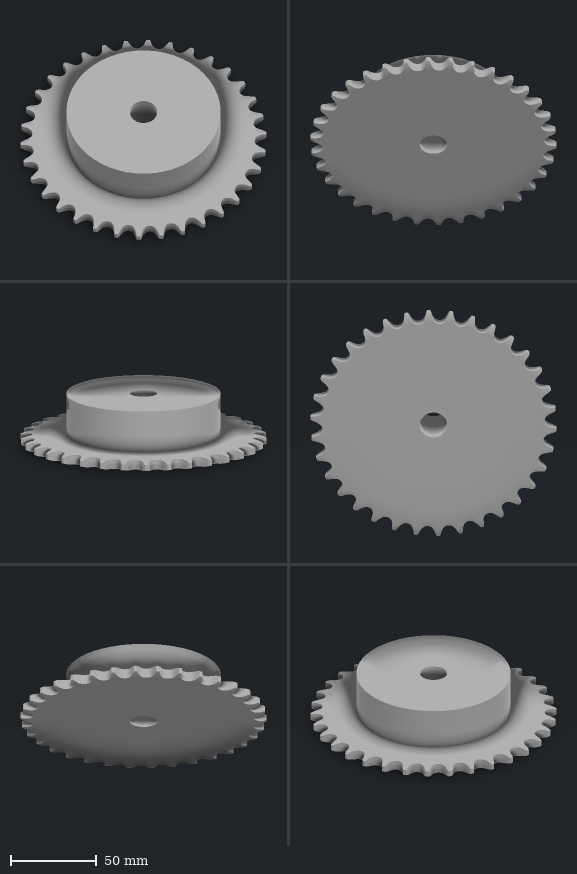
import cadquery as cq
import math

teeth = 34
outer_diameter = 143.6
plate_thickness = 5.7
total_height = 30.0
hub_diameter = 90.0
bore_diameter = 16.0

pitch_diameter = 137.7
roller_diameter = 7.9
seat_clearance = 0.039

bevel_reach = 5.7
bevel_radius = 14.4
rim_overshoot = 1.5

outer_radius = outer_diameter / 2
pitch_radius = pitch_diameter / 2
half_step = math.pi / teeth

seat_radius = 0.5025 * roller_diameter + seat_clearance
working_offset = 0.8 * roller_diameter
working_radius = seat_radius + working_offset
topping_offset = 1.4 * roller_diameter
seat_half_angle = math.radians(90 - (35 + 60 / teeth))
working_angle = math.radians(18 - 56 / teeth)
topping_angle = math.radians(17 - 64 / teeth)
flank_angle = seat_half_angle + working_angle
topping_radius = (
    working_offset * math.cos(working_angle) + topping_offset * math.cos(topping_angle) - working_radius
)
straight_length = topping_offset * math.sin(topping_angle) - working_offset * math.sin(working_angle)


def on_arc(center, radius, angle):
    """Point on a circle, at an angle measured from the direction that points at the sprocket axis."""
    return (center[0] - radius * math.cos(angle), center[1] + radius * math.sin(angle))


def make_half_gap():
    """Points from the bottom of a tooth gap to the tooth tip, with the X axis along the middle of the gap."""
    seat_center = (pitch_radius, 0)
    working_center = on_arc(seat_center, -working_offset, seat_half_angle)
    topping_center = (
        pitch_radius - topping_offset * math.sin(half_step),
        topping_offset * math.cos(half_step),
    )
    straight_start = on_arc(working_center, working_radius, flank_angle)
    straight_end = (
        straight_start[0] + straight_length * math.sin(flank_angle),
        straight_start[1] + straight_length * math.cos(flank_angle),
    )

    center_distance = math.hypot(*topping_center)
    tip_angle = math.atan2(topping_center[1], topping_center[0]) - math.acos(
        (center_distance**2 + outer_radius**2 - topping_radius**2) / (2 * center_distance * outer_radius)
    )
    tip = (outer_radius * math.cos(tip_angle), outer_radius * math.sin(tip_angle))
    topping_end_angle = math.atan2(topping_center[1] - tip[1], tip[0] - topping_center[0])
    topping_start_angle = math.pi / 2 - flank_angle
    topping_middle_angle = (topping_start_angle + math.pi / 2 - topping_end_angle) / 2
    topping_middle = (
        topping_center[0] + topping_radius * math.sin(topping_middle_angle),
        topping_center[1] - topping_radius * math.cos(topping_middle_angle),
    )
    return {
        "seat_bottom": on_arc(seat_center, seat_radius, 0),
        "seat_end": on_arc(seat_center, seat_radius, seat_half_angle),
        "working_middle": on_arc(working_center, working_radius, seat_half_angle + working_angle / 2),
        "straight_start": straight_start,
        "straight_end": straight_end,
        "topping_middle": topping_middle,
        "tip": tip,
    }


def turned(point, angle):
    """Point turned about the sprocket axis."""
    return (
        point[0] * math.cos(angle) - point[1] * math.sin(angle),
        point[0] * math.sin(angle) + point[1] * math.cos(angle),
    )


def make_toothed_plate():
    """Flat plate with the full tooth outline."""
    half_gap = make_half_gap()

    def place(name, side, angle):
        x, y = half_gap[name]
        return turned((x, side * y), angle)

    outline = cq.Workplane("XY").moveTo(*place("tip", -1, half_step))
    for index in range(teeth):
        angle = half_step * (2 * index + 1)
        outline = (
            outline
            .threePointArc(place("topping_middle", -1, angle), place("straight_end", -1, angle))
            .lineTo(*place("straight_start", -1, angle))
            .threePointArc(place("working_middle", -1, angle), place("seat_end", -1, angle))
            .threePointArc(place("seat_bottom", 1, angle), place("seat_end", 1, angle))
            .threePointArc(place("working_middle", 1, angle), place("straight_start", 1, angle))
            .lineTo(*place("straight_end", 1, angle))
            .threePointArc(place("topping_middle", 1, angle), place("tip", 1, angle))
            .threePointArc(
                turned((outer_radius, 0), angle + half_step),
                place("tip", -1, angle + 2 * half_step),
            )
        )
    return outline.close().extrude(plate_thickness)


def make_bevelled_disc():
    """Disc slightly larger than the sprocket, with the rounded bevel turned on both faces."""
    bevel_start = outer_radius - bevel_reach
    full_reach = bevel_reach + rim_overshoot

    def bevel_depth(reach):
        return bevel_radius - math.sqrt(bevel_radius**2 - reach**2)

    rim_radius = bevel_start + full_reach
    rim_depth = bevel_depth(full_reach)
    middle_radius = bevel_start + full_reach / 2
    middle_depth = bevel_depth(full_reach / 2)
    return (
        cq.Workplane("XZ")
        .lineTo(bevel_start, 0)
        .threePointArc((middle_radius, middle_depth), (rim_radius, rim_depth))
        .lineTo(rim_radius, plate_thickness - rim_depth)
        .threePointArc((middle_radius, plate_thickness - middle_depth), (bevel_start, plate_thickness))
        .lineTo(0, plate_thickness)
        .close()
        .revolve(360, (0, 0, 0), (0, 1, 0))
    )


plate = make_toothed_plate().intersect(make_bevelled_disc())

hub = cq.Workplane("XY").circle(hub_diameter / 2).extrude(total_height)
bore = cq.Workplane("XY").circle(bore_diameter / 2).extrude(total_height)
result = plate.union(hub).cut(bore)